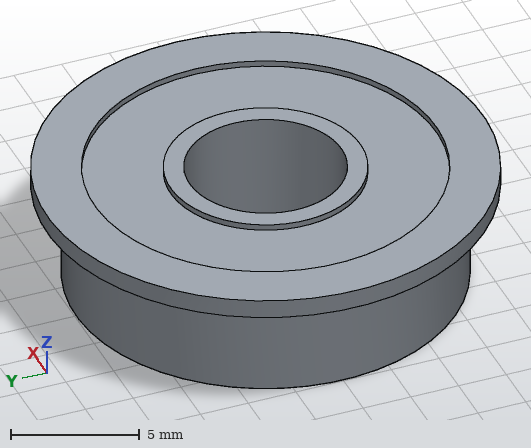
import cadquery as cq

height = 4.98
bore_diameter = 6.35
inner_ring_diameter = 7.94
recess_diameter = 14.29
body_diameter = 15.875
flange_diameter = 18.24
flange_thickness = 0.79
recess_depth = 0.25


def disc(diameter, bottom, thickness):
    """Solid disc on the Z axis, starting at height `bottom`."""
    return cq.Workplane("XY").workplane(offset=bottom).circle(diameter / 2).extrude(thickness)


def flanged_outer_body():
    """Cylindrical body with a wider flange flush with its top face."""
    body = disc(body_diameter, 0, height)
    flange = disc(flange_diameter, height - flange_thickness, flange_thickness)
    return body.union(flange)


def shield_recess():
    """Shallow annular space between the inner ring and the outer ring."""
    recess_floor = height - recess_depth
    outer = disc(recess_diameter, recess_floor, recess_depth)
    return outer.cut(disc(inner_ring_diameter, recess_floor, recess_depth))


bore = disc(bore_diameter, 0, height)

result = flanged_outer_body().cut(shield_recess()).cut(bore)